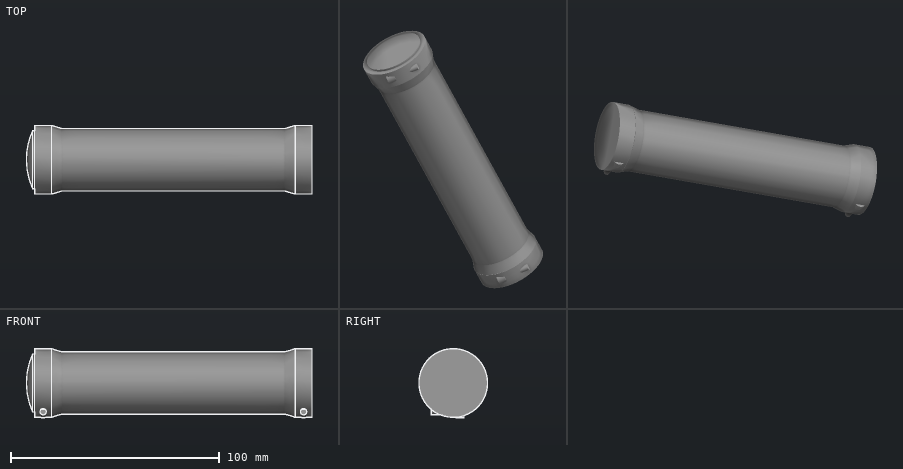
import cadquery as cq
import math

total_length = 137.1
total_height = 33.3
tube_diameter = 30.0
end_ring_diameter = 33.0
end_ring_length = 8.2
flare_length = 5.0
rear_gap = 0.1

lens_diameter = 28.0
dome_height = 3.0
lens_rim_height = 1.0
lens_seat_depth = 1.4

shank_diameter = 3.0
head_diameter = 6.0
head_length = 3.8
head_end_y = 5.2
shank_end_y = -10.5

lowest_z = end_ring_diameter / 2 - total_height
screw_z = lowest_z + head_diameter / 2

dome_tip_x = -total_length / 2
dome_edge_x = dome_tip_x + dome_height
front_ring_x = dome_edge_x + lens_rim_height
lens_seat_x = front_ring_x + lens_seat_depth
barrel_start_x = front_ring_x + end_ring_length
rear_end_x = total_length / 2
barrel_end_x = rear_end_x - end_ring_length
rear_ring_x = barrel_end_x + rear_gap
front_screw_x = front_ring_x + end_ring_length / 2
rear_screw_x = rear_end_x - end_ring_length / 2


def revolve_about_x(profile):
    """Turn a closed half profile, drawn in the XY plane, about the X axis."""
    return profile.revolve(360, (0, 0, 0), (1, 0, 0))


def make_cylinder_along_y(x, diameter, length):
    """Cylinder on a screw axis that starts at the head's end face and runs toward -Y."""
    return cq.Workplane("XZ", origin=(x, head_end_y, screw_z)).circle(diameter / 2).extrude(length)


def make_screw(x):
    """Cylindrical-head screw with its head on the +Y side and its shank ending on the -Y side."""
    head = make_cylinder_along_y(x, head_diameter, head_length)
    shank = make_cylinder_along_y(x, shank_diameter, head_end_y - shank_end_y)
    return head.union(shank)


def make_lens():
    """Disc with a short cylindrical rim and a spherical dome facing -X."""
    lens_radius = lens_diameter / 2
    sphere_radius = (lens_radius**2 + dome_height**2) / (2 * dome_height)
    mid_radius = lens_radius / 2
    mid_x = dome_tip_x + sphere_radius - math.sqrt(sphere_radius**2 - mid_radius**2)
    profile = (
        cq.Workplane("XY")
        .moveTo(lens_seat_x, 0)
        .lineTo(lens_seat_x, lens_radius)
        .lineTo(dome_edge_x, lens_radius)
        .threePointArc((mid_x, mid_radius), (dome_tip_x, 0))
        .close()
    )
    return revolve_about_x(profile)


def make_barrel():
    """Straight round barrel that flares out to the end ring diameter at both ends."""
    tube_radius = tube_diameter / 2
    flare_radius = end_ring_diameter / 2
    profile = (
        cq.Workplane("XY")
        .moveTo(barrel_start_x, 0)
        .lineTo(barrel_start_x, flare_radius)
        .lineTo(barrel_start_x + flare_length, tube_radius)
        .lineTo(barrel_end_x - flare_length, tube_radius)
        .lineTo(barrel_end_x, flare_radius)
        .lineTo(barrel_end_x, 0)
        .close()
    )
    return revolve_about_x(profile)


def make_end_ring(start_x, end_x, screw):
    """Round end piece with a stepped hole that matches its cross screw."""
    blank = (
        cq.Workplane("YZ", origin=(start_x, 0, 0))
        .circle(end_ring_diameter / 2)
        .extrude(end_x - start_x)
    )
    return blank.cut(screw)


screws = [make_screw(x) for x in (front_screw_x, rear_screw_x)]
front_screw, rear_screw = screws
lens = make_lens()
barrel = make_barrel()
front_ring = make_end_ring(front_ring_x, barrel_start_x, front_screw).cut(lens)
rear_ring = make_end_ring(rear_ring_x, rear_end_x, rear_screw)

result = cq.Compound.makeCompound(
    [
        barrel.val(),
        front_ring.val(),
        rear_ring.val(),
        lens.val(),
        *[screw.val() for screw in screws],
    ]
)